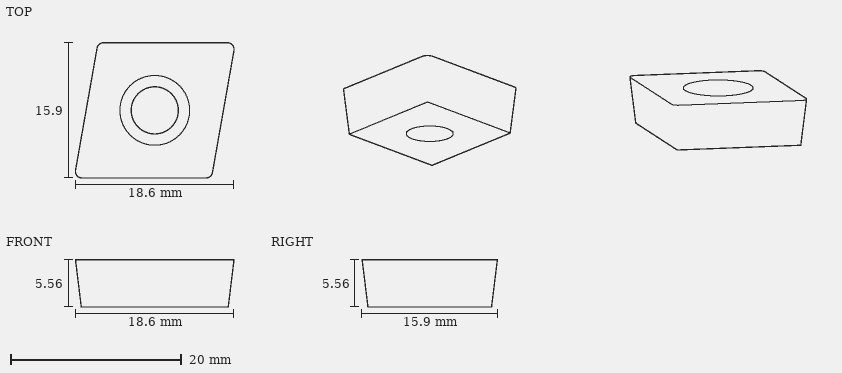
import cadquery as cq
import math

inscribed_diameter = 15.875
corner_angle = 80.0
corner_radius = 0.8
thickness = 5.56
clearance_angle = 7.0

hole_diameter = 5.5
recess_diameter = 8.18
recess_wall_angle = 4.0
recess_depth = 1.115
seat_end_depth = 4.34
seat_radius = 5.0
seat_blend_radius = 0.25


def make_body():
    """Rounded rhombus at the top face, narrowing downwards by the clearance angle."""
    half_height = inscribed_diameter / 2
    side_length = inscribed_diameter / math.sin(math.radians(corner_angle))
    half_shift = half_height / math.tan(math.radians(corner_angle))
    half_side = side_length / 2
    corners = [
        (-half_side - half_shift, -half_height),
        (half_side - half_shift, -half_height),
        (half_side + half_shift, half_height),
        (-half_side + half_shift, half_height),
    ]
    outline = cq.Sketch().polygon(corners + corners[:1]).vertices().fillet(corner_radius)
    return (
        cq.Workplane("XY")
        .workplane(offset=thickness)
        .placeSketch(outline)
        .extrude(-thickness, taper=clearance_angle)
    )


def seat_midpoint(start, end):
    """Middle of the seat arc, which bulges towards the hole axis."""
    chord_x = end[0] - start[0]
    chord_z = end[1] - start[1]
    chord = math.hypot(chord_x, chord_z)
    bulge = seat_radius - math.sqrt(seat_radius**2 - (chord / 2) ** 2)
    return (
        (start[0] + end[0]) / 2 + bulge * chord_z / chord,
        (start[1] + end[1]) / 2 - bulge * chord_x / chord,
    )


def make_screw_hole():
    """Revolved cutter: drafted recess, blended curved seat and through hole."""
    hole_radius = hole_diameter / 2
    recess_top_radius = recess_diameter / 2
    recess_bottom_radius = recess_top_radius - recess_depth * math.tan(math.radians(recess_wall_angle))
    seat_start = (recess_bottom_radius, thickness - recess_depth)
    seat_end = (hole_radius, thickness - seat_end_depth)
    cutter = (
        cq.Workplane("XZ")
        .moveTo(0, 0)
        .lineTo(0, thickness)
        .lineTo(recess_top_radius, thickness)
        .lineTo(*seat_start)
        .threePointArc(seat_midpoint(seat_start, seat_end), seat_end)
        .lineTo(hole_radius, 0)
        .close()
        .revolve(360, (0, 0, 0), (0, 1, 0))
    )
    corner_center = (0, 0, thickness - recess_depth)
    corner_ring = cq.selectors.NearestToPointSelector(corner_center)
    return cutter.edges(corner_ring).fillet(seat_blend_radius)


result = make_body().cut(make_screw_hole())